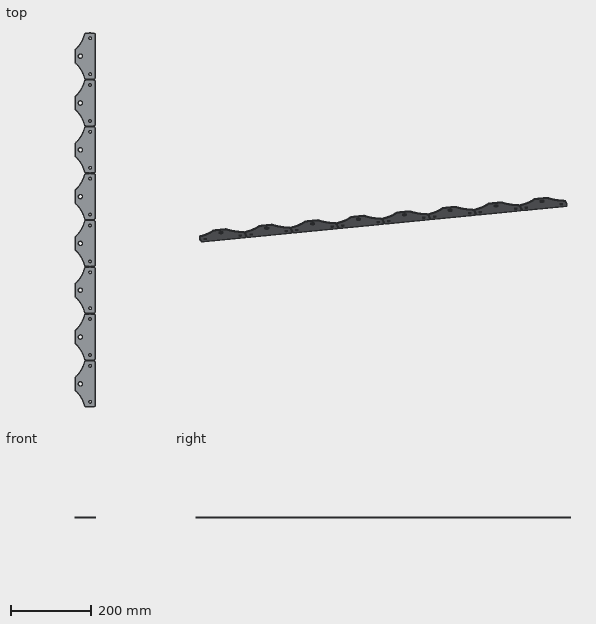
import cadquery as cq
import math

PLATE_COUNT = 8
ROW_LENGTH = 932.0
PITCH = ROW_LENGTH / PLATE_COUNT
GAP = 2.0
THICKNESS = 3.0

PLATE_WIDTH = 50.0
PLATE_LENGTH = PITCH - GAP
LOBE_FLAT = 33.0
FLANK_RADIUS = 78.0
FLANK_START = math.radians(47.8)
CORNER_RADIUS = 4.0

TAB_WIDTH = 3.0

LOBE_HOLE_DIAMETER = 10.0
LOBE_HOLE_INSET = 13.0
END_HOLE_DIAMETER = 6.2
END_HOLE_INSET = 13.0
END_HOLE_SPACING = 89.5

BACK_X = PLATE_WIDTH / 2
LOBE_X = -PLATE_WIDTH / 2
HALF_LENGTH = PLATE_LENGTH / 2
HALF_FLAT = LOBE_FLAT / 2
FLANK_END = math.asin(math.sin(FLANK_START) - (HALF_LENGTH - HALF_FLAT) / FLANK_RADIUS)


def flank_point(slope, side):
    """Point where a flank arc has this slope against the Y axis; side is +1 or -1 along Y."""
    x = LOBE_X + FLANK_RADIUS * (math.cos(slope) - math.cos(FLANK_START))
    y = HALF_FLAT + FLANK_RADIUS * (math.sin(FLANK_START) - math.sin(slope))
    return (x, side * y)


def make_blank():
    """Plate without its tab and holes."""
    middle_slope = (FLANK_START + FLANK_END) / 2
    outline = (
        cq.Workplane("XY")
        .moveTo(BACK_X, -HALF_LENGTH)
        .lineTo(BACK_X, HALF_LENGTH)
        .lineTo(*flank_point(FLANK_END, 1))
        .threePointArc(flank_point(middle_slope, 1), (LOBE_X, HALF_FLAT))
        .lineTo(LOBE_X, -HALF_FLAT)
        .threePointArc(flank_point(middle_slope, -1), flank_point(FLANK_END, -1))
        .close()
    )
    blank = outline.extrude(THICKNESS)
    return blank.edges("|Z and (>Y or <Y)").fillet(CORNER_RADIUS)


def add_tab(plate):
    """Bridge the gap to the next plate from the middle of the +Y end."""
    end_x = flank_point(FLANK_END, 1)[0]
    tab_x = (end_x + BACK_X) / 2
    tab_length = HALF_LENGTH + GAP
    tab = (
        cq.Workplane("XY")
        .center(tab_x, tab_length / 2)
        .rect(TAB_WIDTH, tab_length)
        .extrude(THICKNESS)
    )
    return plate.union(tab)


def cut_hole(plate, diameter, x, y):
    hole = cq.Workplane("XY").center(x, y).circle(diameter / 2).extrude(THICKNESS)
    return plate.cut(hole)


def make_plate():
    plate = add_tab(make_blank())
    plate = cut_hole(plate, LOBE_HOLE_DIAMETER, LOBE_X + LOBE_HOLE_INSET, 0)
    for side in (1, -1):
        plate = cut_hole(plate, END_HOLE_DIAMETER, BACK_X - END_HOLE_INSET, side * END_HOLE_SPACING / 2)
    return plate


plates = []
for index in range(PLATE_COUNT):
    plate_y = index * PITCH - ROW_LENGTH / 2 + HALF_LENGTH
    plates.append(make_plate().translate((0, plate_y, -THICKNESS / 2)))

result = cq.Compound.makeCompound([plate.solids().val() for plate in plates])